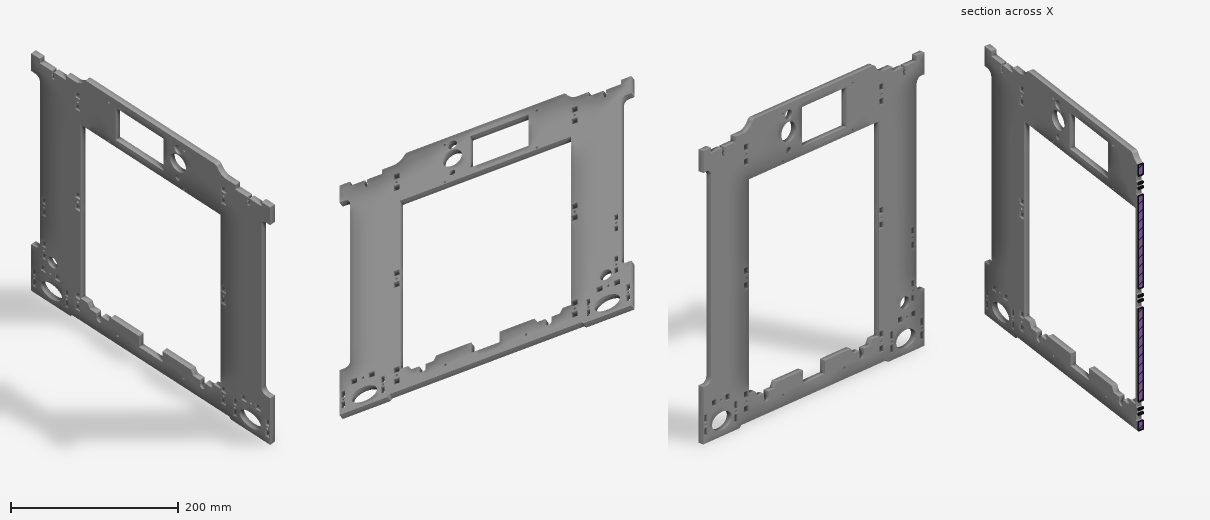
import cadquery as cq
width = 396.8
height = 396.0
thickness = 8.0
half_width = width / 2

column_half = 184.0
ear_top = 383.5
ear_bottom = 354.7
foot_top = 75.0
ear_fillet = 8.0
notch_floor = 376.0
notch_inner = 140.5
crown_half = 106.0
crown_shoulder = 123.5
crown_bend_x = 110.5
crown_bend_z = 393.2
crown_concave_radius = 20.0
crown_convex_radius = 5.0
base_rise = 3.0
foot_inner = 133.5

opening_half = 116.3
opening_top = 320.0
rail_top = 39.0
recess_floor = 31.5
recess_x = 85.7
recess_top_half = 19.0
recess_floor_half = 15.0
u_slot_width = 8.5
u_slot_bottom = 20.0
center_notch_half = 19.5
center_notch_floor = 21.5

t_slot_x = 162.3
t_slot_width = 3.0
t_slot_depth = 12.0
nut_width = 5.5
nut_height = 2.5
nut_depth = 6.0

screw_diameter = 3.5
slot_length = 8.7
slot_pitch = 9.5
wide_slot = 8.0
narrow_slot = 5.0
inner_joint_x = 121.0
inner_joint_middle_z = 192.0
inner_joint_spacing = 161.5
side_joint_x = 177.5
side_joint_zs = (147.5, 78.0)
foot_joint_z = 24.0
foot_joint_inner_x = 139.5
foot_joint_outer_x = 193.5
foot_slot_length = 10.5
foot_slot_pitch = 8.7
cross_joint_x = 166.5
cross_joint_z = 47.5
cross_slot_pitch = 12.0
cross_slot_size = 8.5

foot_ellipse_x = 165.0
foot_ellipse_z = 20.0
foot_ellipse_width = 35.5
foot_ellipse_height = 24.0
cable_hole_x = -163.0
cable_hole_z = 67.5
cable_hole_diameter = 16.3

window_left = -58.5
window_right = 21.0
window_bottom = 331.5
window_top = 383.5
panel_screw_xs = (-69.5, 55.5)
panel_screw_zs = (385.0, 323.0)
control_x = 45.2
control_holes = ((381.0, 12.5), (358.7, 26.0), (334.5, 8.5))

rail_screw_x = 54.8
rail_screw_z = 17.5


def block(x, z, size_x, size_z):
    return cq.Workplane("XZ").center(x, z).rect(size_x, size_z).extrude(thickness / 2, both=True)


def disc(x, z, diameter):
    return cq.Workplane("XZ").center(x, z).circle(diameter / 2).extrude(thickness / 2, both=True)


def fillet_corners(body, x, z, radius):
    """Round the through-thickness edges at (x, z) and at its mirror image."""
    for side in (-1, 1):
        body = body.edges(cq.selectors.NearestToPointSelector((side * x, 0, z))).fillet(radius)
    return body


def plate():
    half = (
        cq.Workplane("XZ")
        .moveTo(0, height)
        .lineTo(crown_half, height)
        .radiusArc((crown_bend_x, crown_bend_z), crown_convex_radius)
        .radiusArc((crown_shoulder, ear_top), -crown_concave_radius)
        .lineTo(notch_inner, ear_top)
        .lineTo(notch_inner, notch_floor)
        .lineTo(column_half, notch_floor)
        .lineTo(column_half, ear_top)
        .lineTo(half_width, ear_top)
        .lineTo(half_width, ear_bottom)
        .lineTo(column_half, ear_bottom)
        .lineTo(column_half, foot_top)
        .lineTo(half_width, foot_top)
        .lineTo(half_width, 0)
        .lineTo(foot_inner, 0)
        .lineTo(foot_inner - base_rise, base_rise)
        .lineTo(0, base_rise)
        .close()
        .extrude(thickness / 2, both=True)
    )
    body = half.union(half.mirror("YZ")).clean()
    for z in (ear_bottom, foot_top):
        body = fillet_corners(body, column_half, z, ear_fillet)
    return body


def central_opening():
    right_half = [
        (opening_half, opening_top),
        (opening_half, rail_top),
        (recess_x + recess_top_half, rail_top),
        (recess_x + recess_floor_half, recess_floor),
        (recess_x - recess_floor_half, recess_floor),
        (recess_x - recess_top_half, rail_top),
        (center_notch_half, rail_top),
        (center_notch_half, center_notch_floor),
    ]
    left_half = [(-x, z) for x, z in reversed(right_half)]
    cutter = cq.Workplane("XZ").polyline(right_half + left_half).close().extrude(thickness / 2, both=True)
    u_center_z = u_slot_bottom + u_slot_width / 2
    straight = rail_top - u_center_z
    for x in (-recess_x, recess_x):
        cutter = cutter.union(block(x, u_center_z + straight / 2, u_slot_width, straight))
        cutter = cutter.union(disc(x, u_center_z, u_slot_width))
    return cutter


def t_slot(x):
    stem = block(x, notch_floor - t_slot_depth / 2, t_slot_width, t_slot_depth)
    return stem.union(block(x, notch_floor - nut_depth, nut_width, nut_height))


def upright_joint(x, z, slot_width, length=slot_length, pitch=slot_pitch):
    cutter = disc(x, z, screw_diameter)
    for side in (-1, 1):
        cutter = cutter.add(block(x, z + side * pitch, slot_width, length))
    return cutter.combine()


def cross_joint(x, z):
    cutter = disc(x, z, screw_diameter)
    for side in (-1, 1):
        cutter = cutter.add(block(x + side * cross_slot_pitch, z, cross_slot_size, cross_slot_size))
    return cutter.combine()


def foot_ellipse(x):
    sketch = cq.Workplane("XZ").center(x, foot_ellipse_z)
    sketch = sketch.ellipse(foot_ellipse_width / 2, foot_ellipse_height / 2)
    return sketch.extrude(thickness / 2, both=True)


result = plate().cut(central_opening())

for side in (-1, 1):
    result = result.cut(t_slot(side * t_slot_x))
    for step in (-1, 0, 1):
        joint_z = inner_joint_middle_z + step * inner_joint_spacing
        result = result.cut(upright_joint(side * inner_joint_x, joint_z, wide_slot))
    for joint_x in (foot_joint_inner_x, foot_joint_outer_x):
        result = result.cut(
            upright_joint(side * joint_x, foot_joint_z, narrow_slot, foot_slot_length, foot_slot_pitch)
        )
    result = result.cut(cross_joint(side * cross_joint_x, cross_joint_z))
    result = result.cut(foot_ellipse(side * foot_ellipse_x))
    result = result.cut(disc(side * rail_screw_x, rail_screw_z, screw_diameter))

for joint_z in side_joint_zs:
    result = result.cut(upright_joint(-side_joint_x, joint_z, narrow_slot))
result = result.cut(disc(cable_hole_x, cable_hole_z, cable_hole_diameter))

result = result.cut(
    block(
        (window_left + window_right) / 2,
        (window_bottom + window_top) / 2,
        window_right - window_left,
        window_top - window_bottom,
    )
)
for screw_x in panel_screw_xs:
    for screw_z in panel_screw_zs:
        result = result.cut(disc(screw_x, screw_z, screw_diameter))
for hole_z, hole_diameter in control_holes:
    result = result.cut(disc(control_x, hole_z, hole_diameter))